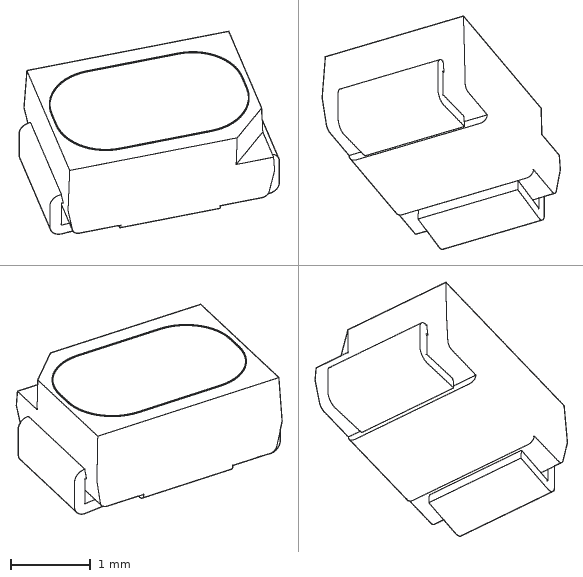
import cadquery as cq
import math

width = 2.0
length = 2.7
top_z = 1.31
parting_z = 0.66
underside_z = 0.21
top_inset = 0.03
side_inset_low = 0.03
end_draft_low = 10
edge_radius = 0.1

bar_width = width - 2 * side_inset_low
bar_length = 1.3
bar_bottom_z = 0.11

lens_width = 1.51
lens_length = 2.5
lens_radius = 0.65
groove_width = 0.01
groove_depth = 0.01

notch_leg = 0.51
notch_depth = 0.43

lead_width = 1.4
lead_thickness = 0.15
lead_span = 3.0
lead_top_z = 0.67
foot_length = 0.59
foot_angle = 5


def make_drafted_block(plane, depth, half_top, half_parting, half_bottom):
    """Six-sided profile in the given plane, extruded evenly to both sides."""
    return (
        cq.Workplane(plane)
        .moveTo(-half_top, top_z)
        .lineTo(half_top, top_z)
        .lineTo(half_parting, parting_z)
        .lineTo(half_bottom, underside_z)
        .lineTo(-half_bottom, underside_z)
        .lineTo(-half_parting, parting_z)
        .close()
        .extrude(depth / 2, both=True)
    )


def make_front_block():
    """Block bounded by the drafted X sides."""
    half_low = width / 2 - side_inset_low
    return make_drafted_block("XZ", length, width / 2 - top_inset, width / 2, half_low)


def make_end_block():
    """Block bounded by the drafted Y ends, with rounded lower edges."""
    half_low = length / 2 - (parting_z - underside_z) * math.tan(math.radians(end_draft_low))
    block = make_drafted_block("YZ", width, length / 2 - top_inset, length / 2, half_low)
    return block.faces("<Z").edges("|X").fillet(edge_radius)


def make_bar():
    """Bar reaching up into the housing, its two lower edges along Y rounded."""
    bar_height = parting_z - bar_bottom_z
    return (
        cq.Workplane("XY")
        .workplane(offset=bar_bottom_z)
        .rect(bar_width, bar_length)
        .extrude(bar_height)
        .faces("<Z")
        .edges("|Y")
        .fillet(edge_radius)
    )


def make_lens_prism(inset):
    """Rounded rectangle of the lens, shrunk by the inset and sunk into the top face."""
    return (
        cq.Workplane("XY")
        .workplane(offset=top_z - groove_depth)
        .rect(lens_width - 2 * inset, lens_length - 2 * inset)
        .extrude(groove_depth)
        .edges("|Z")
        .fillet(lens_radius - inset)
    )


def make_notch():
    """Triangular prism that cuts the corner from the top face down."""
    corner_x = width / 2
    corner_y = length / 2
    return (
        cq.Workplane("XY")
        .workplane(offset=top_z - notch_depth)
        .moveTo(corner_x, corner_y)
        .lineTo(corner_x - notch_leg, corner_y)
        .lineTo(corner_x, corner_y - notch_leg)
        .close()
        .extrude(notch_depth)
    )


def make_housing():
    shell = make_front_block().intersect(make_end_block())
    groove = make_lens_prism(0).cut(make_lens_prism(groove_width))
    return shell.union(make_bar()).cut(groove).cut(make_notch())


def make_lead(housing):
    """Lead at the +Y end: stub against the housing, upright, and foot sloping up underneath."""
    outer_y = lead_span / 2
    inner_y = outer_y - lead_thickness
    upper_z = lead_top_z - lead_thickness
    lower_z = lead_thickness
    stub_end_y = length / 2 - lead_thickness
    slope = math.radians(foot_angle)
    bend = lead_thickness * math.sqrt(0.5)

    tip_y = inner_y - foot_length * math.cos(slope)
    tip_z = lower_z + foot_length * math.sin(slope)
    drop_y = lead_thickness * math.sin(slope)
    drop_z = lead_thickness * math.cos(slope)

    strip = (
        cq.Workplane("YZ")
        .moveTo(stub_end_y, lead_top_z)
        .lineTo(inner_y, lead_top_z)
        .threePointArc((inner_y + bend, upper_z + bend), (outer_y, upper_z))
        .lineTo(outer_y, lower_z)
        .threePointArc((inner_y + bend, lower_z - bend), (inner_y - drop_y, lower_z - drop_z))
        .lineTo(tip_y - drop_y, tip_z - drop_z)
        .lineTo(tip_y, tip_z)
        .lineTo(inner_y, lower_z)
        .lineTo(inner_y, upper_z)
        .lineTo(stub_end_y, upper_z)
        .close()
        .extrude(lead_width / 2, both=True)
    )
    return strip.cut(housing)


housing = make_housing()
lead = make_lead(housing)
leads = [lead.rotate((0, 0, 0), (0, 0, 1), angle) for angle in (0, 180)]

result = cq.Compound.makeCompound([housing.val(), *[each.val() for each in leads]])